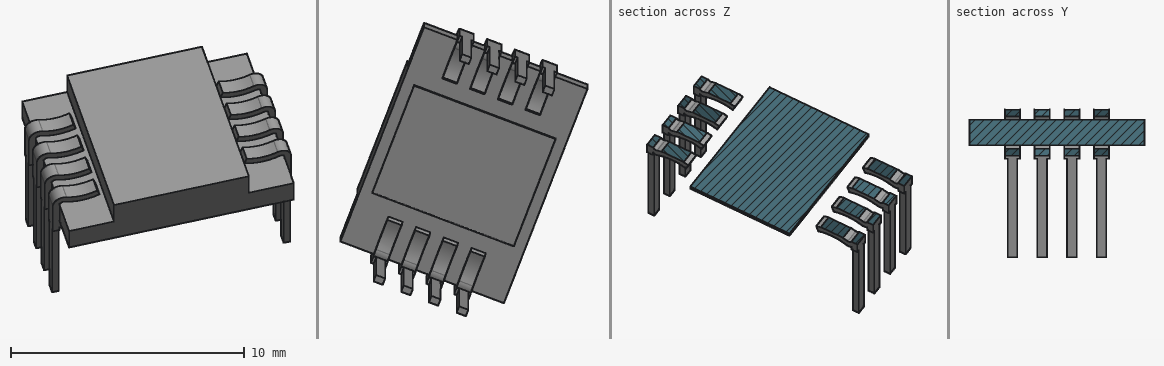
import cadquery as cq
import math

overall_depth = 10.6
overall_height = 7.0

body_width = 7.5
flange_depth = 10.0
flange_height = 1.1
block_depth = 6.0
block_height = 1.1
pad_width = 6.5
pad_depth = 5.0
pad_height = 0.2

clips_per_side = 4
clip_pitch = 1.27
clip_width = 0.66
leg_width = 0.42
wide_stem_drop = 0.57
bend_inner_radius = 0.15
spring_inner_radius = 2.0

flange_edge = flange_depth / 2
clip_outer_face = overall_depth / 2
clip_thickness = clip_outer_face - flange_edge
leg_bottom = flange_height + block_height - overall_height

bend_outer_radius = bend_inner_radius + clip_thickness
bend_center_y = flange_edge - bend_inner_radius
spring_outer_radius = spring_inner_radius + clip_thickness
center_distance = bend_outer_radius + spring_inner_radius
arm_angle = math.acos(spring_outer_radius / center_distance)
spring_center_y = bend_center_y - center_distance * math.sin(arm_angle)
spring_center_z = flange_height + spring_outer_radius


def make_body():
    flange = cq.Workplane("XY").box(body_width, flange_depth, flange_height, centered=(True, True, False))
    block = (
        cq.Workplane("XY")
        .workplane(offset=flange_height)
        .box(body_width, block_depth, block_height, centered=(True, True, False))
    )
    pad = (
        cq.Workplane("XY")
        .workplane(offset=-pad_height)
        .box(pad_width, pad_depth, pad_height, centered=(True, True, False))
    )
    return flange.union(block).union(pad).solids()


def bend_point(radius, angle):
    """Point (Y, Z) on the bend, with the angle measured from straight up toward the middle of the body."""
    return (bend_center_y - radius * math.sin(angle), flange_height + radius * math.cos(angle))


def spring_point(radius, angle):
    """Point (Y, Z) on the dipping curve, with the angle measured from straight down toward the clip stem."""
    return (spring_center_y + radius * math.sin(angle), spring_center_z - radius * math.cos(angle))


def make_upper_arm():
    """Spring arm of the clip on the +Y edge, pressing on the top of the flange."""
    stem_angle = -math.pi / 2
    bend_middle = (stem_angle + arm_angle) / 2
    return (
        cq.Workplane("YZ")
        .moveTo(*bend_point(bend_outer_radius, stem_angle))
        .threePointArc(bend_point(bend_outer_radius, bend_middle), bend_point(bend_outer_radius, arm_angle))
        .threePointArc(spring_point(spring_inner_radius, 0), spring_point(spring_inner_radius, -arm_angle))
        .lineTo(*spring_point(spring_outer_radius, -arm_angle))
        .threePointArc(spring_point(spring_outer_radius, 0), spring_point(spring_outer_radius, arm_angle))
        .threePointArc(bend_point(bend_inner_radius, bend_middle), bend_point(bend_inner_radius, stem_angle))
        .close()
        .extrude(clip_width / 2, both=True)
    )


def make_upright(width, bottom, top):
    """Straight vertical strip lying against the +Y edge of the flange."""
    return cq.Workplane("XY").box(width, clip_thickness, top - bottom, centered=(True, False, False)).translate(
        (0, flange_edge, bottom)
    )


def make_clip():
    """Clip on the +Y edge: stem, leg and two spring arms mirrored about the flange's mid-height."""
    upper_arm = make_upper_arm()
    lower_arm = upper_arm.mirror("XY", (0, 0, flange_height / 2))
    stem = make_upright(clip_width, -wide_stem_drop, flange_height)
    leg = make_upright(leg_width, leg_bottom, -wide_stem_drop)
    return stem.union(leg).union(upper_arm).union(lower_arm).solids()


body = make_body()

clip = make_clip()
opposite_clip = clip.mirror("XZ")
clips = []
for index in range(clips_per_side):
    clip_x = (index - (clips_per_side - 1) / 2) * clip_pitch
    clips.append(clip.translate((clip_x, 0, 0)).val())
    clips.append(opposite_clip.translate((clip_x, 0, 0)).val())

result = cq.Compound.makeCompound([body.val(), *clips])